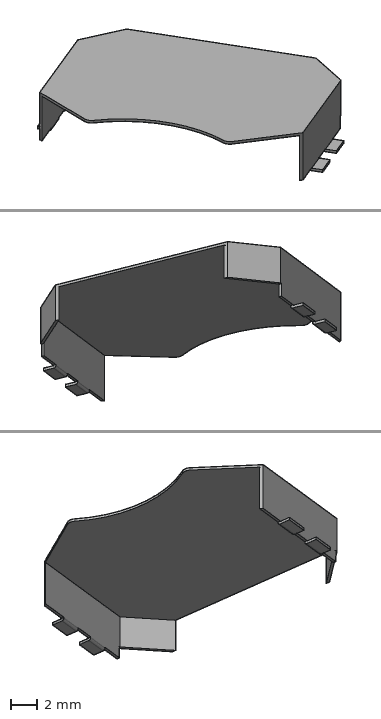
import cadquery as cq
import math

sheet = 0.23
overall_length = 22.85
overall_height = 4.32
body_half = 10.55
back_y = 7.61
back_half = 7.6
side_back_y = 4.73
side_front_y = -4.43
lobe_x = 5.55
lobe_y = -7.77
lobe_radius = 0.69
arch_y = -6.08
side_depth = 4.07
corner_depth = 3.02
notch_y = 4.57
tab_width = 1.78
tab_pitch = 3.31
tab_center_y = 0.25
bend_radius = 0.18

inner_x = body_half - sheet
front_slope = (side_front_y - lobe_y) / (body_half - lobe_x)


def prism(points, depth):
    """Extrude a closed plan outline down from the top face."""
    return cq.Workplane("XY").polyline(points).close().extrude(-depth)


def cover_plate():
    """Flat cover with cut back corners and an arched front edge."""
    plate = (
        cq.Workplane("XY")
        .moveTo(-lobe_x, lobe_y)
        .threePointArc((0, arch_y), (lobe_x, lobe_y))
        .lineTo(body_half, side_front_y)
        .lineTo(body_half, side_back_y)
        .lineTo(back_half, back_y)
        .lineTo(-back_half, back_y)
        .lineTo(-body_half, side_back_y)
        .lineTo(-body_half, side_front_y)
        .close()
        .extrude(-sheet)
    )
    lobe_tips = cq.selectors.BoxSelector(
        (-lobe_x - sheet, lobe_y - sheet, -sheet),
        (lobe_x + sheet, lobe_y + sheet, 0),
    )
    return plate.edges("|Z").edges(lobe_tips).fillet(lobe_radius)


def side_wall():
    """Left wall, its front end following the slanted edge of the cover."""
    return prism(
        [
            (-body_half, side_front_y),
            (-inner_x, side_front_y - sheet * front_slope),
            (-inner_x, notch_y),
            (-body_half, notch_y),
        ],
        side_depth,
    )


def corner_wall():
    """Shallower wall below the left back corner cut."""
    run = body_half - back_half
    rise = back_y - side_back_y
    cut_length = math.hypot(run, rise)
    back_shift = sheet * cut_length / rise
    inner_y = side_back_y + (rise - cut_length) * sheet / run
    return prism(
        [
            (-body_half, notch_y),
            (-body_half, side_back_y),
            (-back_half, back_y),
            (-back_half + back_shift, back_y),
            (-inner_x, inner_y),
            (-inner_x, notch_y),
        ],
        corner_depth,
    )


def solder_tab(center_y):
    """Outward foot with a short neck joining it to the left wall."""
    half_length = overall_length / 2
    foot = (
        cq.Workplane("XY")
        .box(half_length - inner_x, tab_width, sheet, centered=(False, True, False))
        .translate((-half_length, center_y, -overall_height))
        .edges(">X and <Z")
        .fillet(bend_radius)
    )
    neck = (
        cq.Workplane("XY")
        .box(sheet, tab_width, overall_height - side_depth - sheet, centered=(False, True, False))
        .translate((-body_half, center_y, sheet - overall_height))
    )
    return foot.union(neck)


left_side = side_wall().union(corner_wall())
for direction in (-1, 1):
    left_side = left_side.union(solder_tab(tab_center_y + direction * tab_pitch / 2))

result = cover_plate().union(left_side).union(left_side.mirror("YZ"))